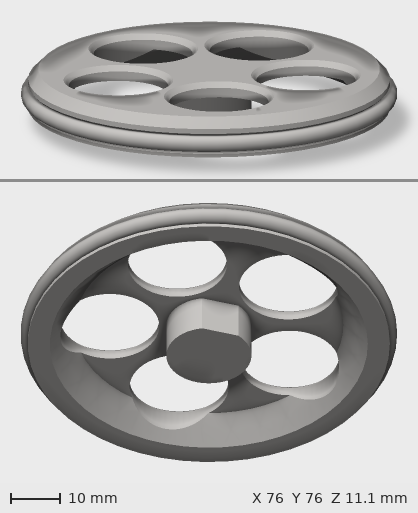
import cadquery as cq
import math

disc_diameter = 73.0
disc_height = 8.0
top_chamfer = 2.05
disc_radius = disc_diameter / 2

ring_outer_diameter = 76.0
ring_section_diameter = 3.3
ring_height = 2.8
groove_lip_chamfer = 0.45
ring_section_radius = ring_section_diameter / 2
ring_centre_radius = ring_outer_diameter / 2 - ring_section_radius
groove_floor_radius = ring_centre_radius - ring_section_radius
groove_half_mouth = ring_section_radius + groove_lip_chamfer

web_thickness = 3.05
recess_mouth_radius = 32.1
recess_depth = disc_height - web_thickness
recess_floor_radius = recess_mouth_radius - recess_depth

window_count = 5
window_diameter = 20.0
window_circle_radius = 20.0
window_chamfer = 1.1
first_window_angle = -90.0
window_radius = window_diameter / 2

boss_diameter = 17.2
boss_projection = 3.05
boss_flat_distance = 7.7
boss_radius = boss_diameter / 2
boss_height = recess_depth + boss_projection


def revolve_profile(points):
    """Turn a closed (radius, height) outline about the Z axis."""
    return cq.Workplane("XZ").polyline(points).close().revolve(360, (0, 0), (0, 1))


def make_disc_blank():
    """Rim and web, with the ring groove and the underside recess."""
    return revolve_profile([
        (0, recess_depth),
        (recess_floor_radius, recess_depth),
        (recess_mouth_radius, 0),
        (disc_radius, 0),
        (disc_radius, ring_height - groove_half_mouth),
        (disc_radius - groove_lip_chamfer, ring_height - ring_section_radius),
        (groove_floor_radius, ring_height - ring_section_radius),
        (groove_floor_radius, ring_height + ring_section_radius),
        (disc_radius - groove_lip_chamfer, ring_height + ring_section_radius),
        (disc_radius, ring_height + groove_half_mouth),
        (disc_radius, disc_height - top_chamfer),
        (disc_radius - top_chamfer, disc_height),
        (0, disc_height),
    ])


def make_window_cutter():
    """A through cutter on the Z axis that widens at the disc's top face."""
    return revolve_profile([
        (0, 0),
        (window_radius, 0),
        (window_radius, disc_height - window_chamfer),
        (window_radius + window_chamfer, disc_height),
        (0, disc_height),
    ])


def make_boss():
    """Round boss from the web down past the underside, trimmed to its flat."""
    boss = (
        cq.Workplane("XY")
        .workplane(offset=-boss_projection)
        .circle(boss_radius)
        .extrude(boss_height)
    )
    kept_length = boss_radius + boss_flat_distance
    kept_side = (
        cq.Workplane("XY")
        .workplane(offset=-boss_projection)
        .center(0, boss_flat_distance - kept_length / 2)
        .rect(boss_diameter, kept_length)
        .extrude(boss_height)
    )
    return boss.intersect(kept_side)


def make_disc():
    """Disc with its boss and the circle of windows."""
    disc = make_disc_blank().union(make_boss())
    cutter = make_window_cutter()
    for index in range(window_count):
        angle = math.radians(first_window_angle + index * 360 / window_count)
        x = window_circle_radius * math.cos(angle)
        y = window_circle_radius * math.sin(angle)
        disc = disc.cut(cutter.translate((x, y, 0)))
    return disc.solids()


def make_sealing_ring():
    """Round-section ring seated in the rim groove."""
    return (
        cq.Workplane("XZ")
        .center(ring_centre_radius, ring_height)
        .circle(ring_section_radius)
        .revolve(360, (-ring_centre_radius, 0), (-ring_centre_radius, 1))
    )


disc = make_disc()
sealing_ring = make_sealing_ring()

result = cq.Compound.makeCompound([disc.val(), sealing_ring.val()])